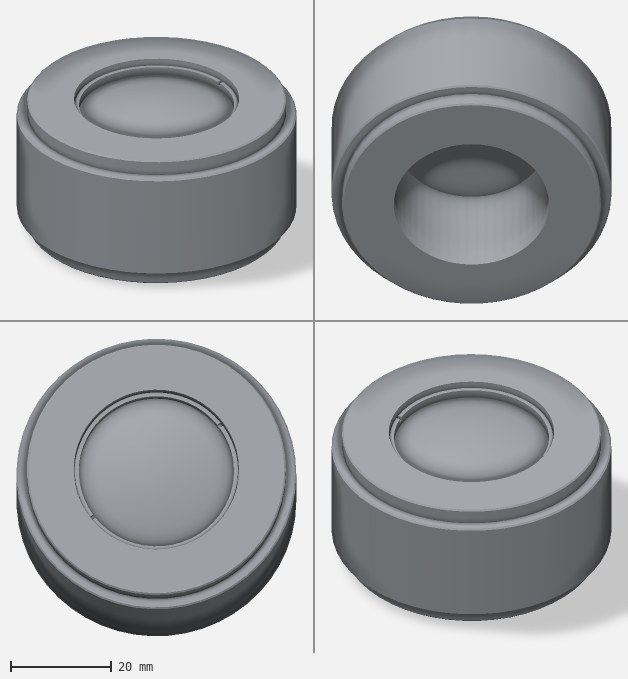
import cadquery as cq
import math

total_height = 28.0
barrel_radius = 55.88 / 2
rim_radius = 25.85
rim_height = 3.2
edge_chamfer = 0.3

bore_radius = 16.5
clear_radius = 15.5

ring_clearance = 0.2
ring_radius = bore_radius - ring_clearance
ring_recess = 1.4
ring_height = 1.8
slot_width = 0.8
slot_depth = 0.9

dome_sag = 2.8
lens_edge_height = 3.0

ring_top = total_height - ring_recess
ring_bottom = ring_top - ring_height
dome_top = ring_bottom + dome_sag
dome_radius = (clear_radius**2 + dome_sag**2) / (2 * dome_sag)
dome_center = dome_top - dome_radius


def dome_height(radius):
    """Height Z of the dome surface at a distance from the axis."""
    return dome_center + math.sqrt(dome_radius**2 - radius**2)


lens_shoulder = dome_height(bore_radius)
seat_height = lens_shoulder - lens_edge_height


def disc(radius, bottom, top):
    """Upright cylinder on the Z axis between two heights."""
    return cq.Workplane("XY").workplane(offset=bottom).circle(radius).extrude(top - bottom)


def make_housing():
    rims = disc(rim_radius, 0, total_height).edges().chamfer(edge_chamfer)
    barrel = disc(barrel_radius, rim_height, total_height - rim_height).edges().chamfer(edge_chamfer)
    bore = disc(bore_radius, seat_height, total_height)
    aperture = disc(clear_radius, 0, seat_height)
    return rims.union(barrel).cut(bore).cut(aperture)


def make_lens():
    profile = (
        cq.Workplane("XZ")
        .moveTo(0, seat_height)
        .lineTo(bore_radius, seat_height)
        .lineTo(bore_radius, lens_shoulder)
        .threePointArc((bore_radius / 2, dome_height(bore_radius / 2)), (0, dome_top))
        .close()
    )
    return profile.revolve(360, (0, 0, 0), (0, 1, 0))


def make_retaining_ring():
    ring = disc(ring_radius, ring_bottom, ring_top).cut(disc(clear_radius, ring_bottom, ring_top))
    spanner_slots = (
        cq.Workplane("XY")
        .workplane(offset=ring_top - slot_depth)
        .rect(slot_width, 2 * bore_radius)
        .extrude(slot_depth)
    )
    return ring.cut(spanner_slots)


housing = make_housing()
lens = make_lens()
retaining_ring = make_retaining_ring()

result = cq.Compound.makeCompound([housing.val(), lens.val(), retaining_ring.val()])